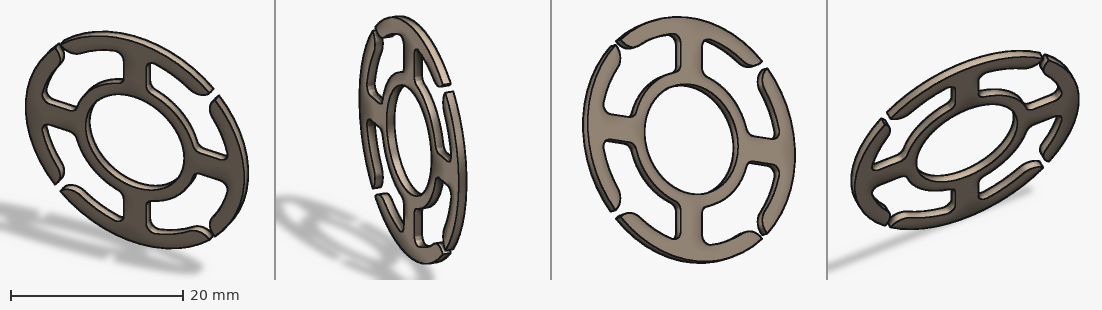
import cadquery as cq
import math

outer_radius = 14.45
bore_diameter = 13.0
hub_radius = 8.0
rim_inner_radius = 12.5
thickness = 1.0
spoke_width = 3.0
corner_radius = 1.0
gap_width = 1.0
nose_radius = 2.0
overshoot = 1.45

quarter_turns = (0, 90, 180, 270)


def disc(radius):
    """Disc centred on the Y axis, with its thickness along Y."""
    return cq.Workplane("XZ").circle(radius).extrude(thickness / 2, both=True)


def window():
    """Filleted opening between two spokes, in the +X +Z quadrant."""
    start = spoke_width / 2
    side = outer_radius
    quadrant = (
        cq.Workplane("XZ")
        .center(start + side / 2, start + side / 2)
        .rect(side, side)
        .extrude(thickness / 2, both=True)
    )
    opening = disc(rim_inner_radius).cut(disc(hub_radius)).intersect(quadrant)
    return opening.edges("|Y").fillet(corner_radius)


def rim_gap():
    """Flared gap through the rim, drawn along +X and turned onto the diagonal."""
    tip_y = gap_width / 2
    tip_angle = math.asin(tip_y / outer_radius)
    tip_x = outer_radius * math.cos(tip_angle)

    center_distance = rim_inner_radius + nose_radius
    center_angle = tip_angle + math.acos(
        (center_distance**2 + outer_radius**2 - nose_radius**2)
        / (2 * center_distance * outer_radius)
    )
    center_x = center_distance * math.cos(center_angle)
    center_y = center_distance * math.sin(center_angle)
    touch_x = rim_inner_radius * math.cos(center_angle)
    touch_y = rim_inner_radius * math.sin(center_angle)

    touch_direction = math.atan2(touch_y - center_y, touch_x - center_x)
    tip_direction = math.atan2(tip_y - center_y, tip_x - center_x)
    middle_direction = (touch_direction + tip_direction) / 2
    middle_x = center_x + nose_radius * math.cos(middle_direction)
    middle_y = center_y + nose_radius * math.sin(middle_direction)

    end_x = outer_radius + overshoot
    return (
        cq.Workplane("XZ")
        .moveTo(touch_x, touch_y)
        .threePointArc((middle_x, middle_y), (tip_x, tip_y))
        .lineTo(end_x, tip_y)
        .lineTo(end_x, -tip_y)
        .lineTo(tip_x, -tip_y)
        .threePointArc((middle_x, -middle_y), (touch_x, -touch_y))
        .close()
        .extrude(thickness / 2, both=True)
        .rotate((0, 0, 0), (0, 1, 0), -45)
    )


result = disc(outer_radius).cut(disc(bore_diameter / 2))
cutter = window().union(rim_gap())
for turn in quarter_turns:
    result = result.cut(cutter.rotate((0, 0, 0), (0, 1, 0), turn))